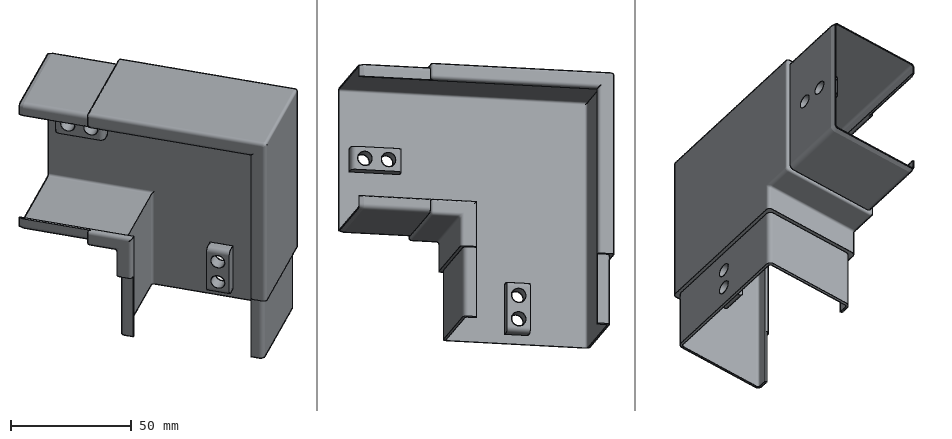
import math

import cadquery as cq

tube_height = 62.0
tube_depth = 42.0
tube_wall = 1.0
tube_corner_radius = 2.0
tube_length = 30.0
sleeve_wall = 1.5
sleeve_length = 77.5
sleeve_edge_radius = 1.5
outer_corner_radius = 1.2
inner_corner_radius = 1.0
sleeve_end_radius = 1.0
lip_height = 5.5
cavity_corner_radius = 1.0

side_taper_length = 2.0
side_taper_depth = 0.5
bottom_bevel_height = 0.25
bottom_bevel_depth = tube_wall

block_length = 21.4
block_width = 9.8
block_thickness = 5.0
block_end_radius = 2.0
hole_diameter = 6.0
hole_spacing = 10.0
block_center_from_end = 15.0

sleeve_height = tube_height + 2 * sleeve_wall
sleeve_depth = tube_depth + 2 * sleeve_wall
cavity_depth = tube_depth - 2 * tube_wall
outer_x = tube_length + sleeve_length
outer_z = tube_length + sleeve_length - bottom_bevel_height
side_sleeve_end = outer_x - sleeve_length
bottom_sleeve_end = outer_z - sleeve_length
side_axis_z = outer_z - sleeve_height / 2
bottom_axis_x = outer_x - sleeve_height / 2
back_wall_y = cavity_depth / 2
tube_overlap = 5.0
overrun = 10.0
selection_margin = 0.1


def elbow_prism(inset, depth, center_y=0.0):
    """L-shaped prism inset from the sleeve outline and running past both open ends."""
    right = outer_x - inset
    top = outer_z - inset
    inner_x = outer_x - sleeve_height + inset
    inner_z = outer_z - sleeve_height + inset
    return (
        cq.Workplane("XZ", origin=(0, center_y, 0))
        .moveTo(-overrun, top)
        .lineTo(right, top)
        .lineTo(right, -overrun)
        .lineTo(inner_x, -overrun)
        .lineTo(inner_x, inner_z)
        .lineTo(-overrun, inner_z)
        .close()
        .extrude(depth / 2, both=True)
    )


def front_opening():
    """Open front, leaving a lip along every side wall."""
    opening_depth = 2 * (sleeve_depth / 2 - back_wall_y)
    return elbow_prism(sleeve_wall + lip_height, opening_depth, -sleeve_depth / 2)


def corner_edge(x, z):
    """Selector for the depth-wise edge of a sleeve corner."""
    return cq.selectors.BoxSelector(
        (x - selection_margin, -selection_margin, z - selection_margin),
        (x + selection_margin, selection_margin, z + selection_margin),
    )


def is_opening_floor(edge):
    """True for an edge lying at the bottom of the front opening."""
    return abs(edge.Center().y + back_wall_y) < selection_margin


def make_sleeve():
    """Larger elbow with a solid core, its front opened down to the cavity."""
    body = elbow_prism(0, sleeve_depth).cut(front_opening())
    body = body.faces("<Y or >Y").edges("not (<X or <Z)").fillet(sleeve_edge_radius)
    body = body.edges(corner_edge(outer_x, outer_z)).fillet(outer_corner_radius)
    inner_corner = corner_edge(outer_x - sleeve_height, outer_z - sleeve_height)
    body = body.edges(inner_corner).fillet(inner_corner_radius)
    keep = cq.Workplane("XY").box(sleeve_length, sleeve_depth, sleeve_length, centered=(False, True, False))
    body = body.intersect(keep.translate((side_sleeve_end, 0, bottom_sleeve_end)))
    end_edges = body.faces("<X").edges().filter(lambda edge: not is_opening_floor(edge))
    return end_edges.fillet(sleeve_end_radius)


def make_tube(end_plane, width, depth, end_length, end_depth):
    """Solid tube whose open end narrows by end_depth over end_length."""
    straight = (
        cq.Workplane(end_plane)
        .workplane(offset=end_length)
        .sketch()
        .rect(width, depth)
        .vertices()
        .fillet(tube_corner_radius)
        .finalize()
    )
    body = straight.extrude(tube_length + tube_overlap)
    taper = math.degrees(math.atan2(end_depth, end_length))
    return body.union(straight.extrude(-end_length, taper=taper))


def make_tubes():
    """Side and bottom tubes, solid except for the front opening."""
    side_plane = cq.Plane(origin=(0, 0, side_axis_z), xDir=(0, 0, 1), normal=(1, 0, 0))
    bottom_plane = cq.Plane(origin=(bottom_axis_x, 0, 0), xDir=(1, 0, 0), normal=(0, 0, 1))
    side = make_tube(side_plane, tube_height, tube_depth, side_taper_length, side_taper_depth)
    bottom = make_tube(bottom_plane, tube_height, tube_depth, bottom_bevel_height, bottom_bevel_depth)
    return side.union(bottom).cut(front_opening())


def make_cavity():
    """Hollow shared by the sleeve and both tubes."""
    body = elbow_prism(sleeve_wall + tube_wall, cavity_depth)
    return body.faces("<Y or >Y").edges().fillet(cavity_corner_radius)


def make_block():
    """Mounting block lying along X, its base on the back wall and its front ends rounded."""
    embedded_thickness = block_thickness + tube_wall / 2
    block = cq.Workplane("XY").box(block_length, embedded_thickness, block_width)
    block = block.faces("<Y").edges("|Z").fillet(block_end_radius)
    return block.translate((0, back_wall_y - block_thickness + embedded_thickness / 2, 0))


def make_holes():
    """Pair of cutters through a block and the wall behind it."""
    return (
        cq.Workplane("XZ")
        .pushPoints([(-hole_spacing / 2, 0), (hole_spacing / 2, 0)])
        .circle(hole_diameter / 2)
        .extrude(-sleeve_depth)
    )


def on_side_tube(feature):
    return feature.translate((block_center_from_end, 0, side_axis_z))


def on_bottom_tube(feature):
    upright = feature.rotate((0, 0, 0), (0, 1, 0), 90)
    return upright.translate((bottom_axis_x, 0, block_center_from_end - bottom_bevel_height))


result = make_sleeve().union(make_tubes()).cut(make_cavity())
for place in (on_side_tube, on_bottom_tube):
    result = result.union(place(make_block())).cut(place(make_holes()))